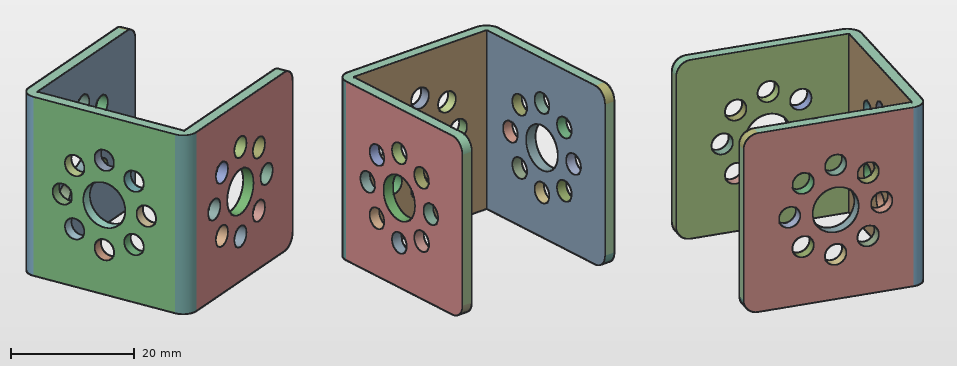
import cadquery as cq

size = 32.0
thickness = 2.0
bend_radius = 2.5
flange_corner_radius = 2.5

center_hole_diameter = 8.0
ring_hole_diameter = 3.7
ring_radius = 8.0
ring_hole_count = 8


def channel():
    """U channel centred on the origin: rounded outside bends, sharp inside corners."""
    outer = cq.Workplane("XY").box(size, size, size).edges("|Z and <Y").fillet(bend_radius)
    cavity_width = size - 2 * thickness
    cavity = cq.Workplane("XY").box(cavity_width, size, size).translate((0, thickness, 0))
    return outer.cut(cavity)


def round_flange_corners(body):
    """Round the free corners of both flanges."""
    return body.edges("|X and >Y").fillet(flange_corner_radius)


def hole_pattern(plane):
    """Cutter across the whole part: a centre hole and a ring of smaller holes."""
    reach = size / 2
    center_hole = cq.Workplane(plane).circle(center_hole_diameter / 2).extrude(reach, both=True)
    ring_holes = (
        cq.Workplane(plane)
        .polarArray(ring_radius, 0, 360, ring_hole_count)
        .circle(ring_hole_diameter / 2)
        .extrude(reach, both=True)
    )
    return center_hole.union(ring_holes)


result = round_flange_corners(channel())
for plane in ("YZ", "XZ"):
    result = result.cut(hole_pattern(plane))